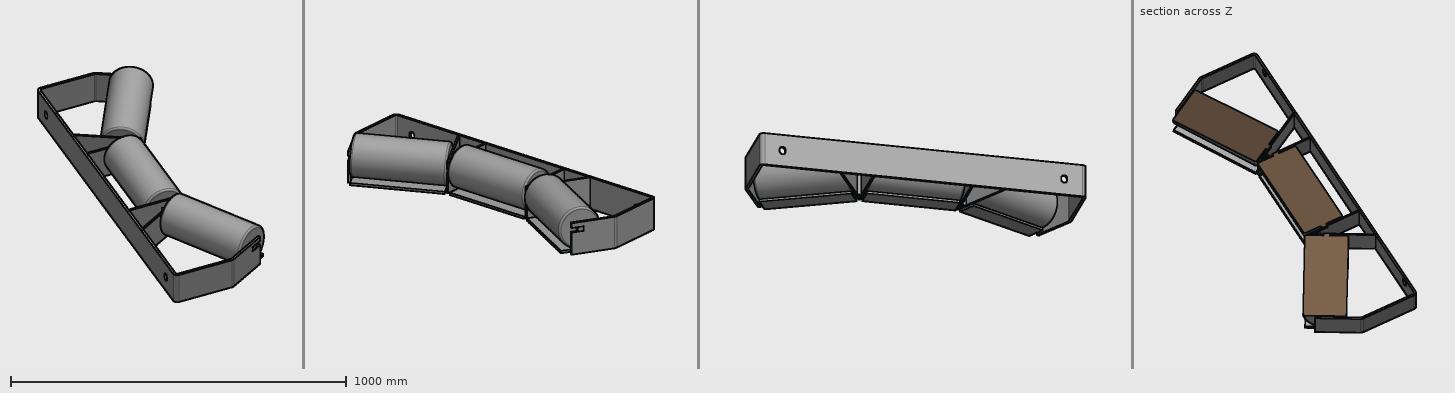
import cadquery as cq
import math

frame_length = 1000.0
frame_height = 102.0
frame_sheet = 8.0
corner_radius = 13.0
bend_radius = 18.0
end_plate_reach = 311.0
mount_hole_x = 432.0
mount_hole_width = 18.0
mount_hole_height = 24.0

roller_radius = 66.0
roller_length = 292.0
roller_rounding = 6.0
roller_gap = 2.0
middle_axis_y = 125.0
inner_axis_z = 70.0
side_swing = 30.0
side_rise = 1.8
side_inner_x = -183.0
side_inner_y = 135.0

shaft_radius = 10.0
shaft_flats = 14.0
slot_height = 15.0

under_plate_thickness = 8.0
under_plate_width = 59.0
under_plate_inset = 3.0

bracket_sheet = 6.0
bracket_reach = 184.0
tie_y = 147.0

swing = math.radians(side_swing)
axis_x, axis_y = -math.cos(swing), math.sin(swing)
along_x, along_y = math.sin(swing), math.cos(swing)
rise = math.radians(side_rise)

slot_depth_past_axis = shaft_radius

middle_plane = cq.Plane(
    origin=(roller_length / 2, middle_axis_y, inner_axis_z), xDir=(0, 1, 0), normal=(-1, 0, 0)
)
left_plane = cq.Plane(
    origin=(side_inner_x, side_inner_y, inner_axis_z),
    xDir=(along_x, along_y, 0),
    normal=(axis_x * math.cos(rise), axis_y * math.cos(rise), math.sin(rise)),
)


def left_point(axial, sideways):
    """Point (x, y) measured from the left roller's inner end, along its axis and along its plates."""
    return (
        side_inner_x + axial * axis_x + sideways * along_x,
        side_inner_y + axial * axis_y + sideways * along_y,
    )


def at_y(axial, y):
    """Point on the line across the left roller's axis at the given axial distance, where it meets y."""
    x0, y0 = left_point(axial, 0)
    return (x0 + (y - y0) * along_x / along_y, y)


def at_x(axial, x):
    """Point on the same line where it meets x."""
    x0, y0 = left_point(axial, 0)
    return (x, y0 + (x - x0) * along_y / along_x)


def mirrored(body):
    return body.mirror("YZ")


def slot_cutter(plane, axial_start, axial_end, open_length):
    """Level slot across a plate at a roller end, open towards +Y."""
    x0, y0, z0 = plane.origin.toTuple()
    axial_middle = (axial_start + axial_end) / 2
    z = z0 + axial_middle * plane.zDir.z
    level = cq.Plane(
        origin=(x0, y0, z), xDir=plane.xDir, normal=(plane.zDir.x, plane.zDir.y, 0)
    )
    return (
        cq.Workplane(level)
        .workplane(offset=axial_start)
        .center((open_length - slot_depth_past_axis) / 2, 0)
        .rect(open_length + slot_depth_past_axis, slot_height)
        .extrude(axial_end - axial_start)
    )


def round_corner(body, point, radius):
    corner = cq.selectors.NearestToPointSelector((*point, frame_height / 2))
    return body.edges("|Z").edges(corner).fillet(radius)


def make_frame():
    wall_x = -frame_length / 2
    inner_axial = roller_length + roller_gap
    outer_axial = inner_axial + frame_sheet
    outer_bend = at_x(outer_axial, wall_x)
    inner_bend = at_x(inner_axial, wall_x + frame_sheet)
    outer_tip = at_y(outer_axial, end_plate_reach)
    inner_tip = (outer_tip[0] - frame_sheet * axis_x, outer_tip[1] - frame_sheet * axis_y)
    outer_corner = (wall_x, 0)
    inner_corner = (wall_x + frame_sheet, frame_sheet)
    half = (
        cq.Workplane("XY")
        .polyline(
            [
                (0, 0),
                outer_corner,
                outer_bend,
                outer_tip,
                inner_tip,
                inner_bend,
                inner_corner,
                (0, frame_sheet),
            ]
        )
        .close()
        .extrude(frame_height)
    )
    half = round_corner(half, outer_corner, corner_radius)
    half = round_corner(half, inner_corner, corner_radius - frame_sheet)
    half = round_corner(half, outer_bend, bend_radius)
    half = round_corner(half, inner_bend, bend_radius - frame_sheet)
    end_slot = slot_cutter(
        left_plane, inner_axial - frame_sheet, outer_axial + frame_sheet, roller_radius
    )
    half = half.cut(end_slot)
    mount_hole = (
        cq.Workplane("XZ")
        .center(-mount_hole_x, frame_height / 2)
        .slot2D(mount_hole_height, mount_hole_width, 90)
        .extrude(-2 * frame_sheet)
    )
    half = half.cut(mount_hole)
    return half.union(mirrored(half))


def make_bracket():
    """Left bracket: upright plate, plate leaning against it and a tie between the two."""
    upright_right = -roller_length / 2 - roller_gap
    upright_left = upright_right - bracket_sheet
    outer_axial = -roller_gap
    inner_axial = outer_axial - bracket_sheet
    upright = (
        cq.Workplane("XY")
        .polyline(
            [
                (upright_left, frame_sheet),
                (upright_right, frame_sheet),
                (upright_right, bracket_reach),
                (upright_left, bracket_reach),
            ]
        )
        .close()
        .extrude(frame_height)
    )
    leaning = (
        cq.Workplane("XY")
        .polyline(
            [
                at_y(outer_axial, frame_sheet),
                at_y(inner_axial, frame_sheet),
                at_x(inner_axial, upright_left),
                at_x(outer_axial, upright_left),
            ]
        )
        .close()
        .extrude(frame_height)
    )
    tie = (
        cq.Workplane("XY")
        .polyline(
            [
                at_y(inner_axial, tie_y),
                (upright_left, tie_y),
                (upright_left, tie_y + bracket_sheet),
                at_y(inner_axial, tie_y + bracket_sheet),
            ]
        )
        .close()
        .extrude(frame_height)
    )
    bracket = upright.union(leaning).union(tie)
    upright_start = roller_length + roller_gap
    upright_slot = slot_cutter(
        middle_plane, upright_start, upright_start + bracket_sheet, 2 * roller_radius
    )
    leaning_slot = slot_cutter(left_plane, inner_axial, outer_axial, 2 * roller_radius)
    return bracket.cut(upright_slot).cut(leaning_slot)


def make_roller(plane, far_sheet):
    """Drum with shaft ends that reach through a bracket sheet at the start and far_sheet at the other end."""
    near_stub = roller_gap + bracket_sheet
    far_stub = roller_gap + far_sheet
    drum = cq.Workplane(plane).circle(roller_radius).extrude(roller_length).edges().fillet(roller_rounding)
    shaft_length = near_stub + roller_length + far_stub
    shaft_start = cq.Workplane(plane).workplane(offset=-near_stub)
    flats = shaft_start.rect(2 * shaft_radius, shaft_flats).extrude(shaft_length)
    shaft = shaft_start.circle(shaft_radius).extrude(shaft_length).intersect(flats)
    return drum.union(shaft)


def make_under_plate(plane):
    """Plate along the underside of a roller, from below its axis to its +Y side."""
    return (
        cq.Workplane(plane)
        .workplane(offset=under_plate_inset)
        .center(under_plate_width / 2, roller_radius + under_plate_thickness / 2)
        .rect(under_plate_width, under_plate_thickness)
        .extrude(roller_length - 2 * under_plate_inset)
    )


frame = make_frame()
left_bracket = make_bracket()
left_roller = make_roller(left_plane, frame_sheet)
left_under_plate = make_under_plate(left_plane)
brackets = [left_bracket, mirrored(left_bracket)]
rollers = [left_roller, make_roller(middle_plane, bracket_sheet), mirrored(left_roller)]
under_plates = [left_under_plate, make_under_plate(middle_plane), mirrored(left_under_plate)]

bodies = [frame, *brackets, *rollers, *under_plates]
result = cq.Compound.makeCompound([body.val() for body in bodies])